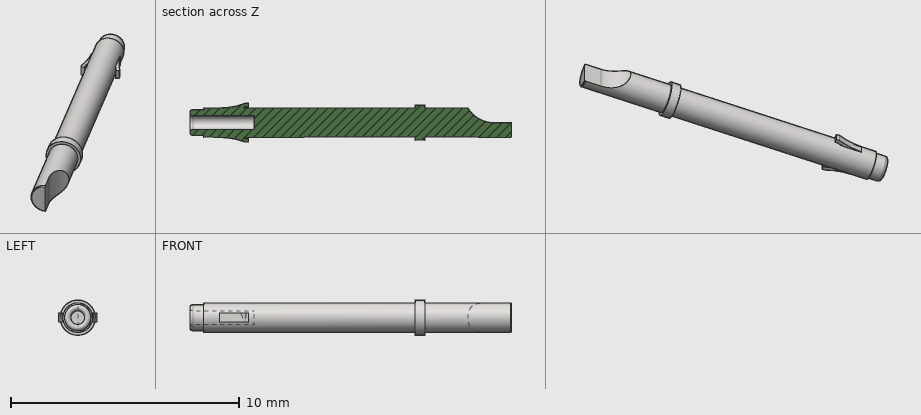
import cadquery as cq
import math

length = 14.09
body_radius = 0.65
nose_radius = 0.58
nose_length = 0.6
collar_radius = 0.77
collar_start = 9.86
collar_width = 0.42
tail_chamfer = 0.04

bore_radius = 0.3
bore_depth = 2.82
rim_radius = (nose_radius - bore_radius) / 2

scoop_start = 12.17
scoop_radius = 1.34

barb_start = 1.31
barb_tip_start = 2.42
barb_end = 2.58
barb_width = 0.4
barb_span = 1.7
barb_reach = barb_span / 2
barb_thickness = 0.15


def cylinder(radius, start, end):
    return cq.Workplane("YZ").workplane(offset=start).circle(radius).extrude(end - start)


def make_pin():
    """Nose, body and collar with a rounded rim and a chamfered tail."""
    nose = cylinder(nose_radius, rim_radius, nose_length)
    rim_middle = (nose_radius + bore_radius) / 2
    rim = cq.Workplane("XY").center(rim_radius, rim_middle).circle(rim_radius)
    rim = rim.revolve(360, (0, -rim_middle, 0), (1, -rim_middle, 0))
    body = cylinder(body_radius, nose_length, length).faces(">X").chamfer(tail_chamfer)
    collar = cylinder(collar_radius, collar_start, collar_start + collar_width)
    bore = cylinder(bore_radius, 0, bore_depth)
    return nose.union(rim).union(body).union(collar).cut(bore)


def make_scoop():
    """Material above the axis plane at the tail, entered by an arc tangent to that plane."""
    run = math.sqrt(scoop_radius**2 - (scoop_radius - body_radius) ** 2)
    arc_end = scoop_start + run
    half_angle = math.asin(run / scoop_radius) / 2
    arc_middle = (
        arc_end - scoop_radius * math.sin(half_angle),
        scoop_radius * (1 - math.cos(half_angle)),
    )
    profile = (
        cq.Workplane("XY")
        .moveTo(scoop_start, body_radius)
        .threePointArc(arc_middle, (arc_end, 0))
        .lineTo(length, 0)
        .lineTo(length, body_radius)
        .close()
    )
    return profile.extrude(body_radius, both=True)


def make_barb():
    """Thin strip that leaves the body tangentially and curls outward to a flat tip clear of it."""
    run = barb_tip_start - barb_start
    rise = barb_reach - body_radius
    curl_radius = (run**2 + rise**2) / (2 * rise)
    curl_angle = math.asin(run / curl_radius)
    curl_center_y = body_radius + curl_radius

    def curl_point(radius, angle):
        return (
            barb_start + radius * math.sin(angle),
            curl_center_y - radius * math.cos(angle),
        )

    inner_radius = curl_radius + barb_thickness
    tip_underside = barb_reach - barb_thickness
    inner_angle = math.acos((curl_center_y - tip_underside) / inner_radius)
    profile = (
        cq.Workplane("XY")
        .moveTo(barb_start, body_radius)
        .threePointArc(curl_point(curl_radius, curl_angle / 2), (barb_tip_start, barb_reach))
        .lineTo(barb_end, barb_reach)
        .lineTo(barb_end, tip_underside)
        .lineTo(*curl_point(inner_radius, inner_angle))
        .threePointArc(
            curl_point(inner_radius, inner_angle / 2),
            (barb_start, body_radius - barb_thickness),
        )
        .close()
    )
    return profile.extrude(barb_width / 2, both=True)


barb = make_barb()
result = make_pin().cut(make_scoop()).union(barb).union(barb.mirror("XZ"))